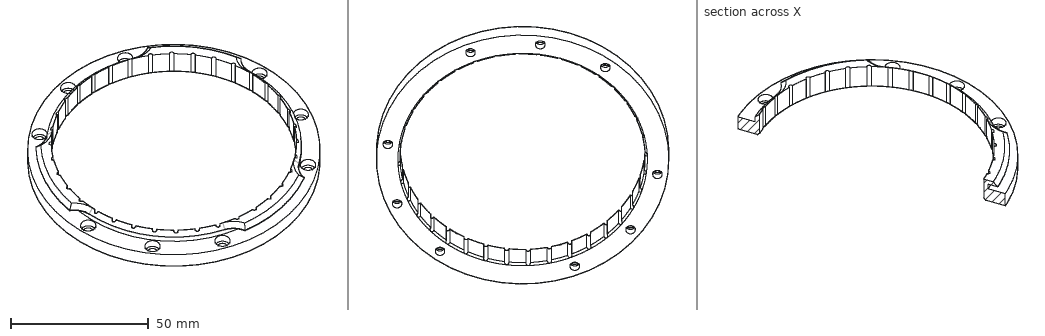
import cadquery as cq
import math

outer_radius = 53.0
bore_radius = 44.4
base_height = 6.0

neck_radius = 46.25
flange_bottom = 8.0
total_height = 10.0
flange_chamfer = 1.75

lobe_radius = 50.0
lobe_half_angle = 20.0
lobe_angles = (105.0, 225.0, 345.0)
lobe_fillet_radius = 8.0

hole_spacing_angle = 30.0
hole_start_angle = 15.0
hole_circle_radius = 49.25
hole_diameter = 3.4
counterbore_diameter = 5.5
counterbore_depth = 3.0

groove_count = 36
groove_start_angle = 5.0
groove_radius = 0.8

bore_chamfer = groove_radius


def polar(radius, angle):
    """Point at the given radius and angle in degrees about the Z axis."""
    return (radius * math.cos(math.radians(angle)), radius * math.sin(math.radians(angle)))


def make_base():
    """Base ring blank with the neck that carries the flange."""
    base = cq.Workplane("XY").circle(outer_radius).extrude(base_height)
    neck = cq.Workplane("XY").circle(neck_radius).extrude(flange_bottom)
    return base.union(neck)


def make_flange():
    """Lobed plate; each lobe runs into the neck circle through concave tangent arcs."""
    fillet_center_radius = neck_radius + lobe_fillet_radius
    arc_span = math.degrees(math.acos(
        (fillet_center_radius**2 + lobe_radius**2 - lobe_fillet_radius**2)
        / (2 * fillet_center_radius * lobe_radius)
    ))
    half_sweep = math.degrees(math.asin(
        lobe_radius * math.sin(math.radians(arc_span)) / lobe_fillet_radius
    )) / 2
    tangent_angle = lobe_half_angle + arc_span

    def arc_middle(lobe_angle, side):
        center_angle = lobe_angle + side * tangent_angle
        cx, cy = polar(fillet_center_radius, center_angle)
        dx, dy = polar(lobe_fillet_radius, center_angle + 180.0 + side * half_sweep)
        return (cx + dx, cy + dy)

    lobe_pitch = 360.0 / len(lobe_angles)
    outline = cq.Workplane("XY").workplane(offset=flange_bottom)
    outline = outline.moveTo(*polar(neck_radius, lobe_angles[0] - tangent_angle))
    for angle in lobe_angles:
        outline = (
            outline
            .threePointArc(arc_middle(angle, -1), polar(lobe_radius, angle - lobe_half_angle))
            .threePointArc(polar(lobe_radius, angle), polar(lobe_radius, angle + lobe_half_angle))
            .threePointArc(arc_middle(angle, 1), polar(neck_radius, angle + tangent_angle))
            .threePointArc(
                polar(neck_radius, angle + lobe_pitch / 2),
                polar(neck_radius, angle + lobe_pitch - tangent_angle),
            )
        )
    plate = outline.close().extrude(total_height - flange_bottom)
    return plate.faces(">Z").edges().chamfer(flange_chamfer)


def cut_bore(body):
    """Bore with axial grooves and a conical lead-in at its lower end."""
    bore = cq.Workplane("XY").circle(bore_radius).extrude(total_height)
    groove_points = [
        polar(bore_radius, groove_start_angle + i * 360.0 / groove_count) for i in range(groove_count)
    ]
    grooves = cq.Workplane("XY").pushPoints(groove_points).circle(groove_radius).extrude(total_height)
    lead_in = cq.Workplane("XY").add(
        cq.Solid.makeCone(bore_radius + bore_chamfer, bore_radius, bore_chamfer)
    )
    return body.cut(bore).cut(grooves).cut(lead_in)


def cut_screw_holes(body):
    """Through holes counterbored from the top of the base."""
    hole_count = round(360.0 / hole_spacing_angle)
    angles = [hole_start_angle + i * hole_spacing_angle for i in range(hole_count)]
    points = [polar(hole_circle_radius, a) for a in angles if a not in lobe_angles]
    holes = cq.Workplane("XY").pushPoints(points).circle(hole_diameter / 2).extrude(base_height)
    counterbores = (
        cq.Workplane("XY")
        .workplane(offset=base_height - counterbore_depth)
        .pushPoints(points)
        .circle(counterbore_diameter / 2)
        .extrude(counterbore_depth)
    )
    return body.cut(holes).cut(counterbores)


blank = make_base().union(make_flange())
result = cut_screw_holes(cut_bore(blank))